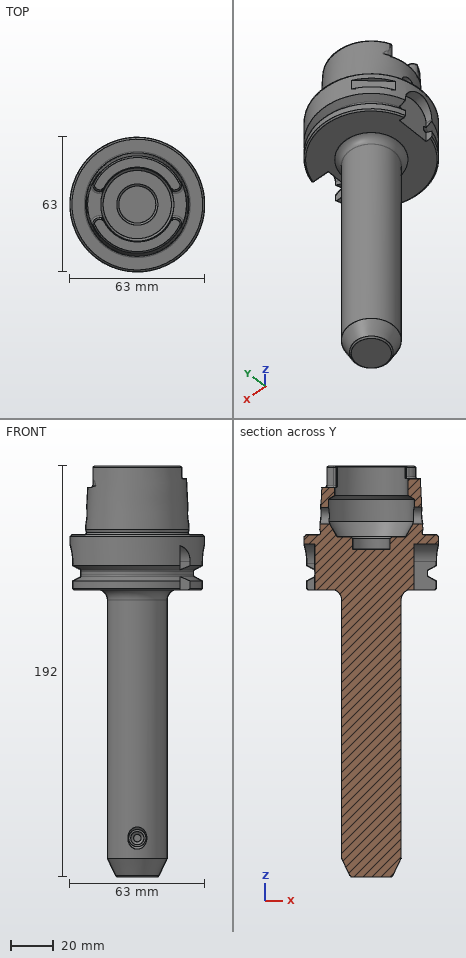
import cadquery as cq
import math


TOTAL_LENGTH = 192.0
TAPER_LENGTH = 32.0
TIP_Z = TAPER_LENGTH - TOTAL_LENGTH

TAPER_BASE_RADIUS = 24.2
TAPER_SLOPE = 1 / 20
TAPER_START_Z = 2.3
RIM_EDGE = 0.8
RELIEF_RADIUS = 23.8
FACE_FILLET = 1.0

BORE_RADIUS = 17.0
BORE_DEPTH = 13.8
BORE_EDGE = 0.4
BORE_FLOOR_RADIUS = 16.0
BORE_FLOOR_Z = -1.0
UNDERCUT_RADIUS = 20.0
UNDERCUT_BOTTOM_Z = 6.1
LIP_SLOPE_HEIGHT = 1.7
COOLANT_RADIUS = 8.6
COOLANT_DEPTH = 5.8
COOLANT_EDGE = 1.0

DRIVE_WIDTH = 12.3
DRIVE_ROUNDING = 3.0
DRIVE_TANGENT_RADIUS = 23.0
DRIVE_RUNOUT = 5.8
DRIVE_INNER_EDGE = 0.5
DRIVE_FLOOR_FILLET = 1.0
DRIVE_DEPTH_LEFT = 10.0
DRIVE_DEPTH_RIGHT = 6.0

ACCESS_RADIUS = 3.8
ACCESS_Z = 8.8

FLANGE_RADIUS = 31.5
FLANGE_HEIGHT = 26.0
FLANGE_EDGE = 1.0
FLANGE_LOWER_EDGE = 0.8
GROOVE_RADIUS = 27.5
GROOVE_Z = -18.0
GROOVE_FLOOR_WIDTH = 2.7
GROOVE_MOUTH_WIDTH = 7.1
GROOVE_FILLET = 0.8

LEFT_KEYWAY_WIDTH = 18.0
LEFT_KEYWAY_FLOOR_X = 26.5
RIGHT_KEYWAY_WIDTH = 16.1
RIGHT_KEYWAY_FLOOR_X = 20.0
KEYWAY_TOP_Z = -4.5
NOTCH_INNER_Y = -19.5
NOTCH_CENTER_Y = NOTCH_INNER_Y - RIGHT_KEYWAY_WIDTH / 2

CHIP_FLAT_DISTANCE = 29.8
CHIP_FLAT_HEIGHT = 6.0
CHIP_FLAT_TOP_Z = -4.0
CHIP_FLAT_ANGLE = 135

SHANK_RADIUS = 14.0
NECK_RADIUS = 5.0
NECK_HEIGHT = 4.6
NOSE_LENGTH = 8.8
NOSE_RADIUS = 10.2
NOSE_EDGE = 0.8

SCREW_Z = TIP_Z + 18.2
COUNTERSINK_RADIUS = 5.2
SCREW_RADIUS = 4.0
SCREW_FACE_DEPTH = 1.5
SOCKET_MOUTH_RADIUS = 3.0
SOCKET_RADIUS = 1.7
SOCKET_DEPTH = 3.8


def taper_radius(z):
    """Outer radius of the taper at a height."""
    return TAPER_BASE_RADIUS - TAPER_SLOPE * (z - TAPER_START_Z)


def revolved_body():
    """Shank, neck, flange and solid taper as one turned shape."""
    neck_drop = NECK_RADIUS - math.sqrt(NECK_RADIUS**2 - NECK_HEIGHT**2)
    half_angle = math.asin(NECK_HEIGHT / NECK_RADIUS) / 2
    neck_mid = (
        SHANK_RADIUS + NECK_RADIUS * (1 - math.cos(half_angle)),
        -FLANGE_HEIGHT - NECK_HEIGHT + NECK_RADIUS * math.sin(half_angle),
    )
    fillet_mid = FACE_FILLET * (1 - math.sqrt(0.5))
    rim_z = TAPER_LENGTH - RIM_EDGE
    profile = (
        cq.Workplane("XZ")
        .moveTo(0, TIP_Z)
        .lineTo(NOSE_RADIUS - NOSE_EDGE, TIP_Z)
        .lineTo(NOSE_RADIUS, TIP_Z + NOSE_EDGE)
        .lineTo(SHANK_RADIUS, TIP_Z + NOSE_LENGTH)
        .lineTo(SHANK_RADIUS, -FLANGE_HEIGHT - NECK_HEIGHT)
        .threePointArc(neck_mid, (SHANK_RADIUS + neck_drop, -FLANGE_HEIGHT))
        .lineTo(FLANGE_RADIUS - FLANGE_LOWER_EDGE, -FLANGE_HEIGHT)
        .lineTo(FLANGE_RADIUS, -FLANGE_HEIGHT + FLANGE_LOWER_EDGE)
        .lineTo(FLANGE_RADIUS, GROOVE_Z - GROOVE_MOUTH_WIDTH / 2)
        .lineTo(GROOVE_RADIUS, GROOVE_Z - GROOVE_FLOOR_WIDTH / 2)
        .lineTo(GROOVE_RADIUS, GROOVE_Z + GROOVE_FLOOR_WIDTH / 2)
        .lineTo(FLANGE_RADIUS, GROOVE_Z + GROOVE_MOUTH_WIDTH / 2)
        .lineTo(FLANGE_RADIUS, -FLANGE_EDGE)
        .lineTo(FLANGE_RADIUS - FLANGE_EDGE, 0)
        .lineTo(RELIEF_RADIUS + FACE_FILLET, 0)
        .threePointArc(
            (RELIEF_RADIUS + fillet_mid, fillet_mid),
            (RELIEF_RADIUS, FACE_FILLET),
        )
        .lineTo(TAPER_BASE_RADIUS, TAPER_START_Z)
        .lineTo(taper_radius(rim_z), rim_z)
        .lineTo(taper_radius(rim_z) - RIM_EDGE, TAPER_LENGTH)
        .lineTo(0, TAPER_LENGTH)
        .close()
    )
    body = profile.revolve(360, (0, 0, 0), (0, 1, 0))
    groove_floor = cq.selectors.BoxSelector(
        (-FLANGE_RADIUS, -FLANGE_RADIUS, GROOVE_Z - GROOVE_FLOOR_WIDTH),
        (FLANGE_RADIUS, FLANGE_RADIUS, GROOVE_Z + GROOVE_FLOOR_WIDTH),
    )
    return body.edges("%CIRCLE").edges(groove_floor).fillet(GROOVE_FILLET)


def bore():
    """Bore with a clamping undercut behind its lip and a coolant hole in its floor."""
    lip_z = TAPER_LENGTH - BORE_DEPTH
    profile = (
        cq.Workplane("XZ")
        .moveTo(0, BORE_FLOOR_Z - COOLANT_DEPTH)
        .lineTo(COOLANT_RADIUS, BORE_FLOOR_Z - COOLANT_DEPTH)
        .lineTo(COOLANT_RADIUS, BORE_FLOOR_Z - COOLANT_EDGE)
        .lineTo(COOLANT_RADIUS + COOLANT_EDGE, BORE_FLOOR_Z)
        .lineTo(BORE_FLOOR_RADIUS, BORE_FLOOR_Z)
        .lineTo(UNDERCUT_RADIUS, UNDERCUT_BOTTOM_Z)
        .lineTo(UNDERCUT_RADIUS, lip_z - LIP_SLOPE_HEIGHT)
        .lineTo(BORE_RADIUS, lip_z)
        .lineTo(BORE_RADIUS, TAPER_LENGTH - BORE_EDGE)
        .lineTo(BORE_RADIUS + BORE_EDGE, TAPER_LENGTH)
        .lineTo(0, TAPER_LENGTH)
        .close()
    )
    return profile.revolve(360, (0, 0, 0), (0, 1, 0))


def drive_slot_outline(z):
    """Plan of the +X drive slot at a height, with corners rounded into the taper."""
    half = DRIVE_WIDTH / 2
    bore_x = math.sqrt(BORE_RADIUS**2 - half**2)
    center_y = half + DRIVE_ROUNDING
    center_distance = DRIVE_TANGENT_RADIUS - DRIVE_ROUNDING
    tangent_angle = math.asin(center_y / center_distance)
    center_x = center_distance * math.cos(tangent_angle)
    mid_angle = (tangent_angle - math.pi / 2) / 2
    mid_x = center_x + DRIVE_ROUNDING * math.cos(mid_angle)
    mid_y = center_y + DRIVE_ROUNDING * math.sin(mid_angle)
    end_x = DRIVE_TANGENT_RADIUS * math.cos(tangent_angle)
    end_y = DRIVE_TANGENT_RADIUS * math.sin(tangent_angle)
    clear_x = end_x - DRIVE_RUNOUT * math.sin(tangent_angle)
    clear_y = end_y + DRIVE_RUNOUT * math.cos(tangent_angle)
    return (
        cq.Workplane("XY")
        .workplane(offset=z)
        .moveTo(0, half + DRIVE_INNER_EDGE)
        .lineTo(bore_x, half + DRIVE_INNER_EDGE)
        .lineTo(bore_x + DRIVE_INNER_EDGE, half)
        .lineTo(center_x, half)
        .threePointArc((mid_x, mid_y), (end_x, end_y))
        .lineTo(clear_x, clear_y)
        .lineTo(FLANGE_RADIUS, clear_y)
        .lineTo(FLANGE_RADIUS, -clear_y)
        .lineTo(clear_x, -clear_y)
        .lineTo(end_x, -end_y)
        .threePointArc((mid_x, -mid_y), (center_x, -half))
        .lineTo(bore_x + DRIVE_INNER_EDGE, -half)
        .lineTo(bore_x, -half - DRIVE_INNER_EDGE)
        .lineTo(0, -half - DRIVE_INNER_EDGE)
        .close()
    )


def drive_slot(side, depth):
    """Slot through the taper wall on one X side, with a filleted floor and a flared rim."""
    slot = (
        drive_slot_outline(TAPER_LENGTH - depth)
        .extrude(depth)
        .faces("<Z")
        .edges()
        .fillet(DRIVE_FLOOR_FILLET)
    )
    rim_flare = drive_slot_outline(TAPER_LENGTH - RIM_EDGE).extrude(RIM_EDGE, taper=-45)
    slot = slot.union(rim_flare)
    return slot if side > 0 else slot.mirror("YZ")


def access_hole():
    """Round hole along X through both sides of the taper wall."""
    return (
        cq.Workplane("YZ")
        .center(0, ACCESS_Z)
        .circle(ACCESS_RADIUS)
        .extrude(FLANGE_RADIUS, both=True)
    )


def keyway(side, width, floor_x, center_y=0):
    """Round-topped slot in the flange rim, from its floor outwards along X."""
    radius = width / 2
    axis_z = KEYWAY_TOP_Z - radius
    return (
        cq.Workplane("YZ")
        .workplane(offset=side * floor_x)
        .moveTo(center_y - radius, -FLANGE_HEIGHT)
        .lineTo(center_y - radius, axis_z)
        .threePointArc((center_y, KEYWAY_TOP_Z), (center_y + radius, axis_z))
        .lineTo(center_y + radius, -FLANGE_HEIGHT)
        .close()
        .extrude(side * FLANGE_RADIUS)
    )


def chip_flat():
    """Shallow rectangular flat on the flange rim."""
    return (
        cq.Workplane("XY")
        .box(FLANGE_RADIUS, 2 * FLANGE_RADIUS, CHIP_FLAT_HEIGHT, centered=(False, True, False))
        .translate((CHIP_FLAT_DISTANCE, 0, CHIP_FLAT_TOP_Z - CHIP_FLAT_HEIGHT))
        .rotate((0, 0, 0), (0, 0, 1), CHIP_FLAT_ANGLE)
    )


def screw_recess():
    """Turned recess along Y, sunk into the -Y side of the shank."""
    surface_y = -SHANK_RADIUS
    face_y = surface_y + SCREW_FACE_DEPTH
    clearance = 2.0
    profile = (
        cq.Workplane("XY", origin=(0, 0, SCREW_Z))
        .moveTo(0, surface_y - clearance)
        .lineTo(COUNTERSINK_RADIUS + clearance, surface_y - clearance)
        .lineTo(SCREW_RADIUS, surface_y + COUNTERSINK_RADIUS - SCREW_RADIUS)
        .lineTo(SCREW_RADIUS, face_y)
        .lineTo(SOCKET_MOUTH_RADIUS, face_y)
        .lineTo(SOCKET_RADIUS, face_y + SOCKET_MOUTH_RADIUS - SOCKET_RADIUS)
        .lineTo(SOCKET_RADIUS, surface_y + SOCKET_DEPTH)
        .lineTo(0, surface_y + SOCKET_DEPTH)
        .close()
    )
    return profile.revolve(360, (0, 0, 0), (0, 1, 0))


taper_body = (
    revolved_body()
    .cut(bore())
    .cut(drive_slot(-1, DRIVE_DEPTH_LEFT))
    .cut(drive_slot(1, DRIVE_DEPTH_RIGHT))
)

result = (
    taper_body
    .cut(access_hole())
    .cut(keyway(-1, LEFT_KEYWAY_WIDTH, LEFT_KEYWAY_FLOOR_X))
    .cut(keyway(1, RIGHT_KEYWAY_WIDTH, RIGHT_KEYWAY_FLOOR_X))
    .cut(keyway(1, RIGHT_KEYWAY_WIDTH, RIGHT_KEYWAY_FLOOR_X, NOTCH_CENTER_Y))
    .cut(chip_flat())
    .cut(screw_recess())
)